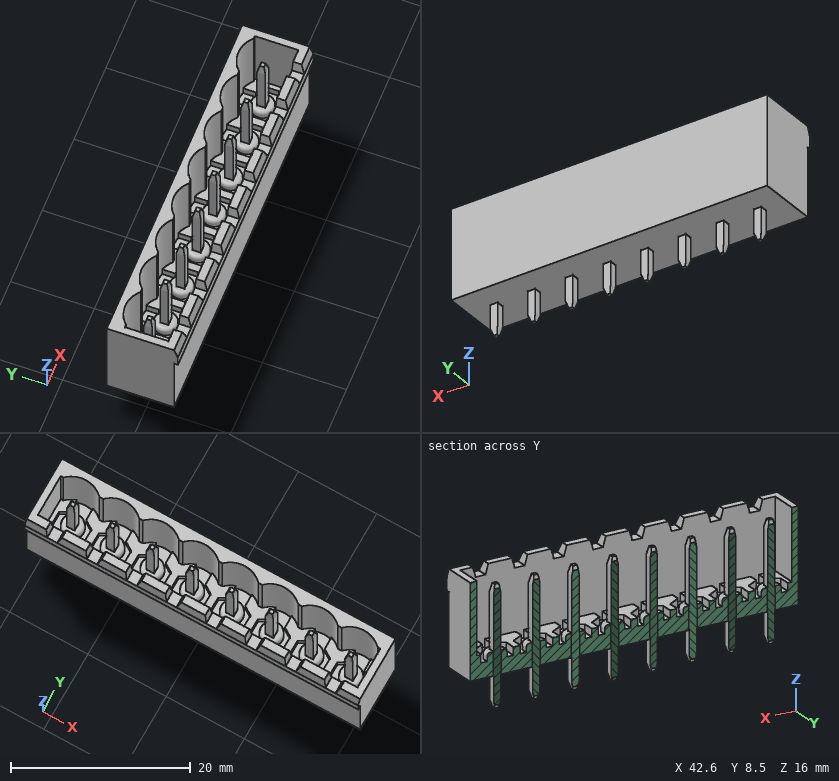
import cadquery as cq
import math


pin_count = 8
pitch = 5.08
pin_positions = [(i - (pin_count - 1) / 2) * pitch for i in range(pin_count)]

housing_length = 42.64
housing_height = 12.0
back_y = 3.8
front_y = -4.25

lip_overhang = 0.45
lip_height = 2.83
lip_bevel_height = 1.27
lip_front_y = front_y - lip_overhang

end_wall = 0.9
floor_z = 3.0
cavity_length = housing_length - 2 * end_wall
cavity_front_y = -3.23
cavity_depth = housing_height - floor_z
bay_radius = 3.25
bay_half_width = 2.3
bay_back_y = 2.9
bay_center_y = bay_back_y - bay_radius
bay_edge_y = bay_center_y + math.sqrt(bay_radius**2 - bay_half_width**2)

recess_depth = 1.0
recess_z = floor_z - recess_depth
recess_half_width = 2.08
recess_side_back_y = 0.55
recess_side_front_y = -1.1
back_channel_half_width = 1.02
back_channel_start_y = 1.2
front_channel_half_width = 0.52
front_channel_start_y = -2.03

collar_diameter = 2.75
collar_round = 0.425
collar_height = 1.0

notch_top_half_width = 1.0
notch_floor_half_width = 0.64
notch_depth = lip_bevel_height

pin_width = 1.0
pin_tip_width = 0.5
pin_top_z = 11.05
pin_bottom_z = -4.0
top_taper_height = 1.1
bottom_taper_height = 0.9


def make_shell():
    """Solid housing block with the bevelled lip on its front face."""
    lip_bottom_z = housing_height - lip_height
    bevel_z = housing_height - lip_bevel_height
    profile = [
        (back_y, 0),
        (back_y, housing_height),
        (front_y, housing_height),
        (lip_front_y, bevel_z),
        (lip_front_y, lip_bottom_z),
        (front_y, lip_bottom_z),
        (front_y, 0),
    ]
    return cq.Workplane("YZ").polyline(profile).close().extrude(housing_length / 2, both=True)


def make_cavity():
    """Space above the floor, with a scalloped back edge."""
    half_length = cavity_length / 2
    outline = (
        cq.Workplane("XY", origin=(0, 0, floor_z))
        .moveTo(half_length, cavity_front_y)
        .lineTo(-half_length, cavity_front_y)
        .lineTo(-half_length, bay_edge_y)
    )
    for x in pin_positions:
        outline = outline.lineTo(x - bay_half_width, bay_edge_y).threePointArc(
            (x, bay_back_y), (x + bay_half_width, bay_edge_y)
        )
    return outline.lineTo(half_length, bay_edge_y).close().extrude(cavity_depth)


def make_recess(x):
    """Keyed floor recess reaching from the front wall to the curved back wall."""
    right_side = [
        (front_channel_half_width, cavity_front_y),
        (front_channel_half_width, front_channel_start_y),
        (recess_half_width, recess_side_front_y),
        (recess_half_width, recess_side_back_y),
        (back_channel_half_width, back_channel_start_y),
    ]
    left_side = [(-px, py) for px, py in reversed(right_side)]
    channel_end_y = bay_center_y + math.sqrt(bay_radius**2 - back_channel_half_width**2)
    return (
        cq.Workplane("XY", origin=(x, 0, recess_z))
        .polyline(right_side)
        .lineTo(back_channel_half_width, channel_end_y)
        .threePointArc((0, bay_back_y), (-back_channel_half_width, channel_end_y))
        .polyline(left_side, includeCurrent=True)
        .close()
        .extrude(recess_depth)
    )


def make_collar(x):
    """Collar with a rounded top edge, standing on the recess floor."""
    return (
        cq.Workplane("XY", origin=(x, 0, recess_z))
        .circle(collar_diameter / 2)
        .extrude(collar_height)
        .faces(">Z")
        .edges()
        .fillet(collar_round)
    )


def make_notch(x):
    """Tapered cutter through the front wall and lip."""
    notch_floor_z = housing_height - notch_depth
    profile = [
        (-notch_top_half_width, housing_height),
        (-notch_floor_half_width, notch_floor_z),
        (notch_floor_half_width, notch_floor_z),
        (notch_top_half_width, housing_height),
    ]
    return (
        cq.Workplane("XZ", origin=(x, cavity_front_y, 0))
        .polyline(profile)
        .close()
        .extrude(cavity_front_y - lip_front_y)
    )


def make_pin_hole(x):
    """Square hole through the floor and collar that fits the pin shank."""
    return (
        cq.Workplane("XY", origin=(x, 0, 0))
        .rect(pin_width, pin_width)
        .extrude(recess_z + collar_height)
    )


def make_housing():
    housing = make_shell().cut(make_cavity())
    for x in pin_positions:
        housing = housing.cut(make_recess(x)).union(make_collar(x))
        housing = housing.cut(make_notch(x)).cut(make_pin_hole(x))
    return housing


def make_taper(x, start_z, height):
    """Square frustum from the shank width at start_z to the tip; a negative height points down."""
    return (
        cq.Workplane("XY", origin=(x, 0, start_z))
        .rect(pin_width, pin_width)
        .workplane(offset=height)
        .rect(pin_tip_width, pin_tip_width)
        .loft(ruled=True)
    )


def make_pin(x):
    """Square contact pin with a tapered tip at each end."""
    shank_bottom_z = pin_bottom_z + bottom_taper_height
    shank_top_z = pin_top_z - top_taper_height
    shank = (
        cq.Workplane("XY", origin=(x, 0, shank_bottom_z))
        .rect(pin_width, pin_width)
        .extrude(shank_top_z - shank_bottom_z)
    )
    top_tip = make_taper(x, shank_top_z, top_taper_height)
    bottom_tip = make_taper(x, shank_bottom_z, -bottom_taper_height)
    return shank.union(top_tip).union(bottom_tip)


housing = make_housing().solids()
pins = [make_pin(x).solids() for x in pin_positions]

result = cq.Compound.makeCompound([housing.val(), *[pin.val() for pin in pins]])